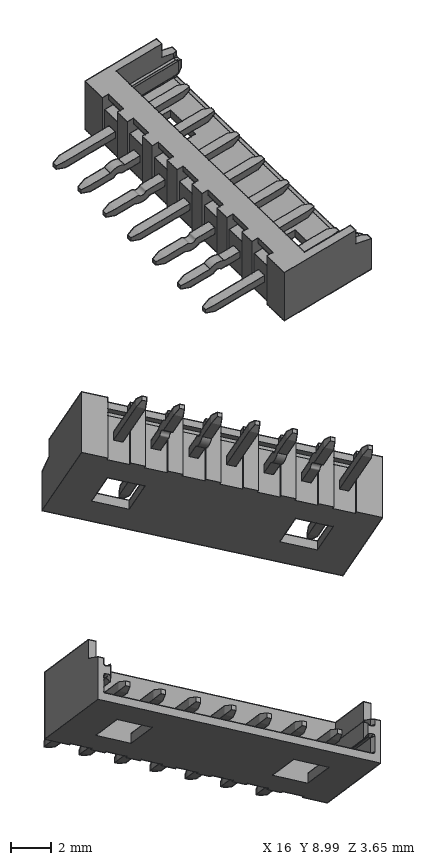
import cadquery as cq
import math


BODY_LENGTH = 16.0
BODY_DEPTH = 5.5
BODY_HEIGHT = 3.65
END_WALL = 0.43
FRONT_WALL = 1.63
FLOOR = 0.55

STEP_DEPTH = 1.0
STEP_INNER_Z = 2.62
STEP_OUTER_Z = 2.32

RAIL_TIP_X = 0.83
RAIL_NECK_X = 0.6
RAIL_MID_Z = 1.71
RAIL_TIP_HEIGHT = 0.96
RAIL_NECK_HEIGHT = 0.64

MOUTH_DEPTH = 0.25
MOUTH_FLARE = 0.1

PIN_COUNT = 7
PITCH = 2.0
PIN_SIZE = 0.5
PIN_Z = 1.5
PIN_TIP_SIZE = 0.25
PIN_TIP_LENGTH = 0.5
TAIL_REACH = 3.49
MOUTH_SETBACK = 0.58

KINKS = {1: 1, 2: -1, 4: -1, 5: 1}
KINK_Y = -1.28
KINK_HEIGHT = 0.16
KINK_OUTER_HALF = 0.45
KINK_INNER_HALF = 0.29
KINK_INNER_RADIUS = 0.24

SLOT_WIDTH = 1.2
SLOT_LIP_DEPTH = 0.38
SLOT_FACE_DEPTH = 0.15
SLOT_SHELF_Z = 2.65
SLOT_LIP_Z = 3.25
SLOT_POCKET_DEPTH = 0.69

WINDOW_BACK_WALL = 1.68
WINDOW_WIDTH = PITCH
WINDOW_PINS = (0, 5)


def pin_x(index):
    return (index - (PIN_COUNT - 1) / 2) * PITCH


def box(x_mid, width, y_min, y_max, z_min, z_max):
    size = (width, y_max - y_min, z_max - z_min)
    corner = (x_mid - width / 2, y_min, z_min)
    return cq.Workplane("XY").box(*size, centered=False).translate(corner)


def cavity():
    """Space between the railed end walls, open at the top and at the mouth."""
    wall_x = BODY_LENGTH / 2 - END_WALL
    neck_x = BODY_LENGTH / 2 - RAIL_NECK_X
    tip_x = BODY_LENGTH / 2 - RAIL_TIP_X
    neck = RAIL_NECK_HEIGHT / 2
    tip = RAIL_TIP_HEIGHT / 2
    right_side = [
        (wall_x, FLOOR),
        (wall_x, RAIL_MID_Z - neck),
        (neck_x, RAIL_MID_Z - neck),
        (tip_x, RAIL_MID_Z - tip),
        (tip_x, RAIL_MID_Z + tip),
        (neck_x, RAIL_MID_Z + neck),
        (wall_x, RAIL_MID_Z + neck),
        (wall_x, BODY_HEIGHT),
    ]
    left_side = [(-x, z) for x, z in reversed(right_side)]
    outline = right_side + left_side
    flare_angle = math.degrees(math.atan(MOUTH_FLARE / MOUTH_DEPTH))

    def section(y):
        facing_mouth = cq.Plane((0, y, 0), xDir=(-1, 0, 0), normal=(0, 1, 0))
        return cq.Workplane(facing_mouth).polyline(outline).close()

    space = section(FRONT_WALL).extrude(BODY_DEPTH - FRONT_WALL)
    mouth = section(BODY_DEPTH - MOUTH_DEPTH).extrude(MOUTH_DEPTH, taper=-flare_angle)
    return space.union(mouth)


def wall_step():
    """Full-width step with a floor that falls towards the mouth."""
    step_y = BODY_DEPTH - STEP_DEPTH
    outline = [
        (step_y, BODY_HEIGHT),
        (step_y, STEP_INNER_Z),
        (BODY_DEPTH, STEP_OUTER_Z),
        (BODY_DEPTH, BODY_HEIGHT),
    ]
    return cq.Workplane("YZ").polyline(outline).close().extrude(BODY_LENGTH / 2, both=True)


def slot(x):
    """Vertical slot in the front face, deepened to a pocket under its top lip."""
    face = box(x, SLOT_WIDTH, 0, SLOT_FACE_DEPTH, 0, SLOT_SHELF_Z)
    pocket = box(x, SLOT_WIDTH, 0, SLOT_POCKET_DEPTH, SLOT_SHELF_Z, SLOT_LIP_Z)
    lip = box(x, SLOT_WIDTH, 0, SLOT_LIP_DEPTH, SLOT_LIP_Z, BODY_HEIGHT)
    return face.union(pocket).union(lip)


def window(index):
    x = (pin_x(index) + pin_x(index + 1)) / 2
    return box(x, WINDOW_WIDTH, FRONT_WALL, BODY_DEPTH - WINDOW_BACK_WALL, 0, FLOOR)


def housing():
    body = box(0, BODY_LENGTH, 0, BODY_DEPTH, 0, BODY_HEIGHT)
    body = body.cut(cavity()).cut(wall_step())
    for index in range(PIN_COUNT):
        body = body.cut(slot(pin_x(index)))
    for index in WINDOW_PINS:
        body = body.cut(window(index))
    return body


def pin_tip(y, direction):
    """Tapered pin end that starts at y and runs along direction (+1 or -1) of Y."""
    base = cq.Plane((0, y, PIN_Z), xDir=(1, 0, 0), normal=(0, direction, 0))
    tip = cq.Workplane(base).rect(PIN_SIZE, PIN_SIZE)
    return tip.workplane(offset=PIN_TIP_LENGTH).rect(PIN_TIP_SIZE, PIN_TIP_SIZE).loft(ruled=True)


def add_kink(pin, direction):
    """Bow a short stretch of the tail: an arched outer side over a round hollow.

    The hollow is an arc that runs into the flat side through a lip arc at each end.
    """
    half = PIN_SIZE / 2
    inner_z = PIN_Z - direction * half
    outer_z = PIN_Z + direction * half
    hollow_z = inner_z + direction * KINK_HEIGHT

    radius_sum = (KINK_INNER_HALF**2 + KINK_HEIGHT**2) / (2 * KINK_HEIGHT)
    lip_radius = radius_sum - KINK_INNER_RADIUS
    lean = math.asin(KINK_INNER_HALF / radius_sum)
    touch_y = KINK_INNER_RADIUS * math.sin(lean)
    touch_z = inner_z + direction * lip_radius * (1 - math.cos(lean))
    lip_mid_y = KINK_INNER_HALF - lip_radius * math.sin(lean / 2)
    lip_mid_z = inner_z + direction * lip_radius * (1 - math.cos(lean / 2))

    sketch = cq.Workplane("YZ", origin=(0, KINK_Y, 0))
    bump = (
        sketch.moveTo(-KINK_OUTER_HALF, outer_z)
        .threePointArc((0, outer_z + direction * KINK_HEIGHT), (KINK_OUTER_HALF, outer_z))
        .close()
        .extrude(half, both=True)
    )
    hollow = (
        sketch.moveTo(-KINK_INNER_HALF, inner_z)
        .threePointArc((-lip_mid_y, lip_mid_z), (-touch_y, touch_z))
        .threePointArc((0, hollow_z), (touch_y, touch_z))
        .threePointArc((lip_mid_y, lip_mid_z), (KINK_INNER_HALF, inner_z))
        .close()
        .extrude(half, both=True)
    )
    return pin.union(bump).cut(hollow)


def pin(index):
    tail_y = PIN_TIP_LENGTH - TAIL_REACH
    head_y = BODY_DEPTH - MOUTH_SETBACK - PIN_TIP_LENGTH
    half = PIN_SIZE / 2
    body = box(0, PIN_SIZE, tail_y, head_y, PIN_Z - half, PIN_Z + half)
    body = body.union(pin_tip(tail_y, -1)).union(pin_tip(head_y, 1))
    if index in KINKS:
        body = add_kink(body, KINKS[index])
    return body.translate((pin_x(index), 0, 0))


result = housing()
for pin_index in range(PIN_COUNT):
    result = result.union(pin(pin_index))